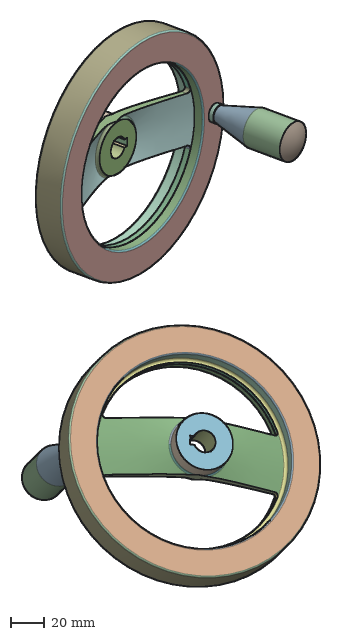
import cadquery as cq
import math


rim_radius = 160.0 / 2
rim_front = 19.2
rim_back = 39.3
recess_radius = 123.4 / 2
rim_edge_round = 1.0

opening_radius = 118.5 / 2
back_recess_radius = opening_radius + 0.2
web_front_at_hub = 11.5
web_back_at_hub = 17.7
web_front_slope = 0.41
web_back_slope = 0.36
web_fillet = 1.6
window_corner_round = 2.1

hub_radius = 36 / 2
hub_back = 20.3
hub_fillet = 1.5
bore_radius = 14.0 / 2
keyway_width = 5.5
keyway_reach = 9.2
spoke_width = 2 * hub_radius

overall_width = 163.8
grip_radius = 26.0 / 2
handle_y = overall_width - rim_radius - grip_radius
neck_radius = 12.5 / 2
cone_start_radius = 5.7
neck_end = 42.8
cone_end = 71.0
grip_end = 99.1
handle_tip = 103.0

joint_overlap = 1.6


def web_front(radius):
    return web_front_at_hub + web_front_slope * (radius - hub_radius)


def web_back(radius):
    return web_back_at_hub + web_back_slope * (radius - hub_radius)


def revolve_about_x(profile):
    """Revolve a closed (x, radius) profile about the X axis."""
    return profile.close().revolve(360, (0, 0, 0), (1, 0, 0))


def circle_edges_at(x, radius):
    """Select the circular edges around the wheel axis at one place."""
    margin = 0.08
    reach = radius + margin
    return cq.selectors.BoxSelector(
        (x - margin, -reach, -reach), (x + margin, reach, reach), boundingbox=True
    )


def make_rim():
    step_x = web_front(recess_radius) + joint_overlap
    profile = (
        cq.Workplane("XY")
        .moveTo(rim_front, recess_radius)
        .lineTo(rim_front, rim_radius)
        .lineTo(rim_back, rim_radius)
        .lineTo(rim_back, back_recess_radius)
        .lineTo(step_x, back_recess_radius)
        .lineTo(step_x, recess_radius)
    )
    rim = revolve_about_x(profile)
    return rim.faces("<X or >X").edges().fillet(rim_edge_round)


def make_web_and_hub():
    web_radius = recess_radius + joint_overlap
    profile = (
        cq.Workplane("XY")
        .moveTo(0, 0)
        .lineTo(0, hub_radius)
        .lineTo(web_front_at_hub, hub_radius)
        .lineTo(web_front(web_radius), web_radius)
        .lineTo(web_back(web_radius), web_radius)
        .lineTo(web_back_at_hub, hub_radius)
        .lineTo(hub_back, hub_radius)
        .lineTo(hub_back, 0)
    )
    return revolve_about_x(profile)


def make_window(side):
    """Opening between the spoke and the rim, above (+1) or below (-1) the spoke."""
    spoke_edge = side * spoke_width / 2
    corner_y = math.sqrt(opening_radius**2 - spoke_edge**2)
    return (
        cq.Workplane("YZ")
        .moveTo(-corner_y, spoke_edge)
        .threePointArc((0, side * opening_radius), (corner_y, spoke_edge))
        .close()
        .extrude(rim_back)
        .edges("|X")
        .fillet(window_corner_round)
    )


def make_bore():
    bore = cq.Workplane("YZ").circle(bore_radius).extrude(hub_back)
    keyway = cq.Workplane("YZ").center(keyway_reach / 2, 0).rect(keyway_reach, keyway_width)
    return bore.union(keyway.extrude(hub_back))


def make_handle():
    dome_height = handle_tip - grip_end
    dome_radius = (grip_radius**2 + dome_height**2) / (2 * dome_height)
    half_angle = math.asin(grip_radius / dome_radius) / 2
    dome_middle = (
        handle_tip - dome_radius * (1 - math.cos(half_angle)),
        dome_radius * math.sin(half_angle),
    )
    profile = (
        cq.Workplane("XY")
        .moveTo(rim_back - joint_overlap, 0)
        .lineTo(rim_back - joint_overlap, neck_radius)
        .lineTo(neck_end, neck_radius)
        .lineTo(neck_end, cone_start_radius)
        .lineTo(cone_end, grip_radius)
        .lineTo(grip_end, grip_radius)
        .threePointArc(dome_middle, (handle_tip, 0))
    )
    return revolve_about_x(profile).translate((0, handle_y, 0))


wheel = make_rim().union(make_web_and_hub())
for edge_x, edge_radius, fillet_radius in (
    (web_front_at_hub, hub_radius, hub_fillet),
    (web_back_at_hub, hub_radius, hub_fillet),
    (web_front(recess_radius), recess_radius, web_fillet),
):
    wheel = wheel.edges(circle_edges_at(edge_x, edge_radius)).fillet(fillet_radius)

for window_side in (1, -1):
    wheel = wheel.cut(make_window(window_side))

result = wheel.cut(make_bore()).union(make_handle())